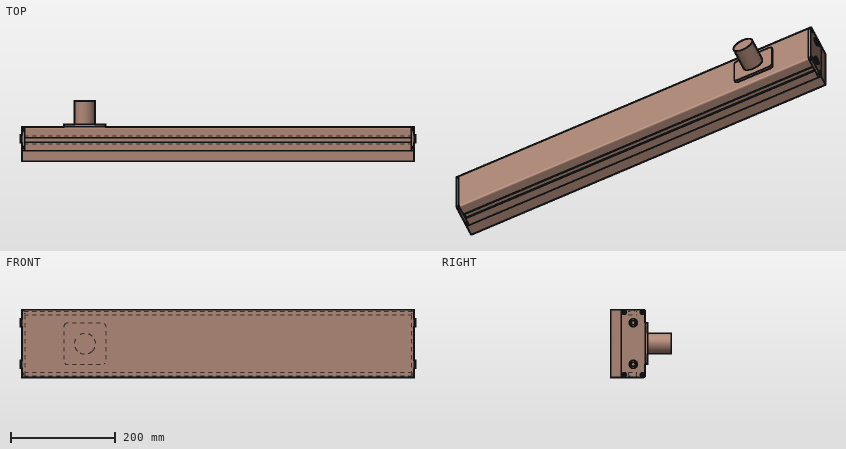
import cadquery as cq

total_length = 754.0
height = 130.0
boss_height = 3.0
body_length = total_length - 2 * boss_height
half_length = body_length / 2

front_depth = 20.0
profile_depth = 45.0
plate_thickness = 5.0
back_fillet = 4.0

groove_width = 9.0
groove_depth = 10.0
groove_lip = 3.0
groove_undercut = 3.0
groove_center_y = 20.0

boss_diameter = 15.0
boss_spacing = 79.0
socket_width = 9.0
socket_depth = 3.0
screw_hole_diameter = 4.0
counterbore_diameter = 7.5
counterbore_depth = 2.0
screw_hole_inset = 5.0

spigot_x = -254.0
flange_size = 80.0
flange_thickness = 4.5
flange_corner_radius = 7.5
tube_diameter = 40.0
tube_length = 45.0


def box(length, y_start, depth):
    """Full-height bar centred on X and Z, starting at the given Y."""
    return cq.Workplane("XY").box(length, depth, height).translate((0, y_start + depth / 2, 0))


def rounded_bar(length):
    """Bar behind the front block with its two long back edges rounded."""
    return box(length, 0, profile_depth).faces(">Y").edges("|X").fillet(back_fillet)


def make_front_block():
    return box(body_length, -front_depth, front_depth)


def make_profile():
    length = body_length - 2 * plate_thickness
    profile = rounded_bar(length)
    chamber_width = groove_width + 2 * groove_undercut
    chamber_depth = groove_depth - groove_lip
    for side in (-1, 1):
        mouth = (
            cq.Workplane("XY")
            .box(length, groove_width, 2 * groove_lip)
            .translate((0, groove_center_y, side * height / 2))
        )
        chamber = (
            cq.Workplane("XY")
            .box(length, chamber_width, chamber_depth)
            .translate((0, groove_center_y, side * (height / 2 - groove_lip - chamber_depth / 2)))
        )
        profile = profile.cut(mouth).cut(chamber)
    return profile


def make_end_plate(side):
    """End plate with two socketed bosses and four counterbored holes; side is -1 or 1 along X."""
    plate = rounded_bar(plate_thickness)
    outward = cq.Workplane("YZ", origin=(plate_thickness / 2, 0, 0))
    boss_points = [(profile_depth / 2, sign * boss_spacing / 2) for sign in (-1, 1)]
    bosses = outward.pushPoints(boss_points).circle(boss_diameter / 2).extrude(boss_height)
    sockets = (
        outward.workplane(offset=boss_height)
        .pushPoints(boss_points)
        .polygon(6, socket_width)
        .extrude(-socket_depth)
    )
    hole_points = [
        (y, sign * (height / 2 - screw_hole_inset))
        for y in (screw_hole_inset, profile_depth - screw_hole_inset)
        for sign in (-1, 1)
    ]
    holes = outward.pushPoints(hole_points).circle(screw_hole_diameter / 2).extrude(-plate_thickness)
    counterbores = (
        outward.pushPoints(hole_points).circle(counterbore_diameter / 2).extrude(-counterbore_depth)
    )
    plate = plate.union(bosses).cut(sockets).cut(holes).cut(counterbores)
    if side < 0:
        plate = plate.mirror("YZ")
    return plate.translate((side * (half_length - plate_thickness / 2), 0, 0))


def make_spigot():
    back_face = cq.Workplane("XZ", origin=(spigot_x, profile_depth, 0))
    flange = (
        back_face.rect(flange_size, flange_size)
        .extrude(-flange_thickness)
        .edges("|Y")
        .fillet(flange_corner_radius)
    )
    tube = (
        back_face.workplane(offset=-flange_thickness)
        .circle(tube_diameter / 2)
        .extrude(-tube_length)
    )
    return flange.union(tube)


front_block = make_front_block()
profile = make_profile()
end_plates = [make_end_plate(side) for side in (-1, 1)]
spigot = make_spigot()

result = cq.Compound.makeCompound(
    [front_block.val(), profile.val(), *[plate.val() for plate in end_plates], spigot.val()]
)